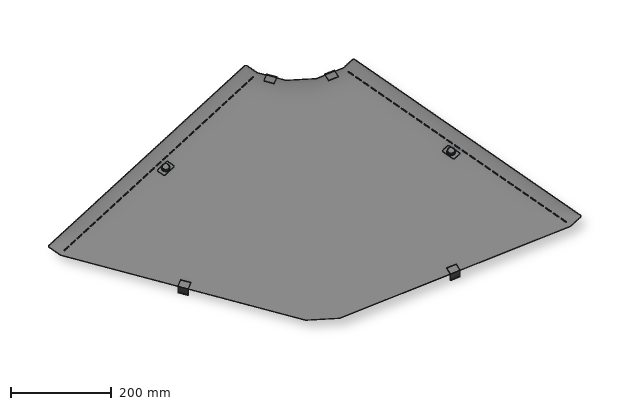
import cadquery as cq
import math

PANEL_LENGTH = 979.0
PANEL_THICKNESS = 1.0
END_ANGLES = (-67.5, 22.5)
FACET_STEP = 22.5
INNER_APOTHEM = 152.0
OUTER_APOTHEM = 707.0
CORNER_RADIUS = 4.0
SINE = math.sin(math.radians(FACET_STEP))
COSINE = math.cos(math.radians(FACET_STEP))
ROUNDING_LOSS = CORNER_RADIUS * (SINE + COSINE - 1)
CUT_APOTHEM = (PANEL_LENGTH + 2 * ROUNDING_LOSS) / (SINE + COSINE)

BRACKET_ANGLES = (-45.0, 0.0)
BRACKET_SHEET = 1.5
BRACKET_WIDTH = 22.0
BRACKET_TOP_LEG = 18.0
BRACKET_DROP = 19.0

SIDE_MIDDLE = (INNER_APOTHEM + CUT_APOTHEM) / 2
SLOT_COUNT = 29
SLOT_ROW_SPAN = 559.0
SLOT_PITCH = SLOT_ROW_SPAN / (SLOT_COUNT - 1)
SLOT_LENGTH = 14.0
SLOT_WIDTH = 1.5
SLOT_INSET = 31.0

LATCH_INSET = 50.0
BASE_LENGTH = 31.0
BASE_WIDTH = 20.0
BASE_CORNER_RADIUS = 2.0
BASE_THICKNESS = 1.0
FLANGE_DIAMETER = 18.0
FLANGE_THICKNESS = 1.0
KNOB_DIAMETER = 15.0
KNOB_TOP = 7.0


def polar(radius, angle):
    """Point at the given radius and angle about the ring centre."""
    return (radius * math.cos(math.radians(angle)), radius * math.sin(math.radians(angle)))


def facet_corner(apothem, angle, next_apothem, next_angle):
    """Corner where two facets meet, each given by its apothem and normal angle."""
    turn = math.radians(next_angle - angle)
    along = (next_apothem - apothem * math.cos(turn)) / math.sin(turn)
    x, y = polar(apothem, angle)
    dx, dy = polar(along, angle + 90)
    return (x + dx, y + dy)


def facet_chain(apothems):
    """Corners of a row of facets that runs from the first radial side to the second."""
    angles = [END_ANGLES[0] + i * FACET_STEP for i in range(len(apothems))]
    facets = list(zip(apothems, angles))
    corners = [facet_corner(*facet, *following) for facet, following in zip(facets, facets[1:])]
    return [polar(*facets[0]), *corners, polar(*facets[-1])]


def make_panel():
    outer_apothems = [CUT_APOTHEM, OUTER_APOTHEM, CUT_APOTHEM, OUTER_APOTHEM, CUT_APOTHEM]
    outer = facet_chain(outer_apothems)
    inner = facet_chain([INNER_APOTHEM] * len(outer_apothems))
    panel = cq.Workplane("XY").polyline(outer + inner[::-1]).close().extrude(PANEL_THICKNESS)
    for corner in (outer[0], outer[-1], inner[0], inner[-1]):
        corner_edge = cq.selectors.NearestToPointSelector((*corner, PANEL_THICKNESS / 2))
        panel = panel.edges(corner_edge).fillet(CORNER_RADIUS)
    return panel


def make_bracket(apothem, angle, inward):
    """L-bracket on a facet, with one leg on the panel and one down its edge.

    inward is the radial direction from the edge onto the panel, +1 or -1.
    """
    top = PANEL_THICKNESS + BRACKET_SHEET
    outside = apothem - inward * BRACKET_SHEET
    leg_end = outside + inward * BRACKET_TOP_LEG
    profile = [
        (outside, -BRACKET_DROP),
        (outside, top),
        (leg_end, top),
        (leg_end, PANEL_THICKNESS),
        (apothem, PANEL_THICKNESS),
        (apothem, -BRACKET_DROP),
    ]
    bracket = cq.Workplane("XZ").polyline(profile).close().extrude(BRACKET_WIDTH / 2, both=True)
    return bracket.rotate((0, 0, 0), (0, 0, 1), angle)


def place_on_side(body, inset, side):
    """Move a body from the origin to inside a radial side. side is 0 or 1, as in END_ANGLES."""
    toward_panel = 1 if side == 0 else -1
    placed = body.translate((SIDE_MIDDLE, toward_panel * inset, 0))
    return placed.rotate((0, 0, 0), (0, 0, 1), END_ANGLES[side])


def cut_slot_row(panel, side):
    slots = cq.Workplane("XY").rarray(SLOT_PITCH, 10, SLOT_COUNT, 1).rect(SLOT_LENGTH, SLOT_WIDTH)
    return panel.cut(place_on_side(slots.extrude(PANEL_THICKNESS), SLOT_INSET, side))


def make_latch_base(side):
    base = cq.Workplane("XY", origin=(0, 0, PANEL_THICKNESS)).rect(BASE_LENGTH, BASE_WIDTH).extrude(BASE_THICKNESS)
    return place_on_side(base.edges("|Z").fillet(BASE_CORNER_RADIUS), LATCH_INSET, side)


def make_latch_knob(side):
    foot = cq.Workplane("XY", origin=(0, 0, PANEL_THICKNESS + BASE_THICKNESS))
    flange = foot.circle(FLANGE_DIAMETER / 2).extrude(FLANGE_THICKNESS)
    knob = flange.union(foot.circle(KNOB_DIAMETER / 2).extrude(KNOB_TOP - BASE_THICKNESS))
    return place_on_side(knob, LATCH_INSET, side)


panel = make_panel()
latch_bases = []
latch_knobs = []
for side in range(len(END_ANGLES)):
    panel = cut_slot_row(panel, side)
    latch_bases.append(make_latch_base(side))
    latch_knobs.append(make_latch_knob(side))

brackets = []
for bracket_angle in BRACKET_ANGLES:
    brackets.append(make_bracket(INNER_APOTHEM, bracket_angle, inward=1))
    brackets.append(make_bracket(OUTER_APOTHEM, bracket_angle, inward=-1))

bodies = [panel, *brackets, *latch_bases, *latch_knobs]
result = cq.Compound.makeCompound([body.val() for body in bodies])